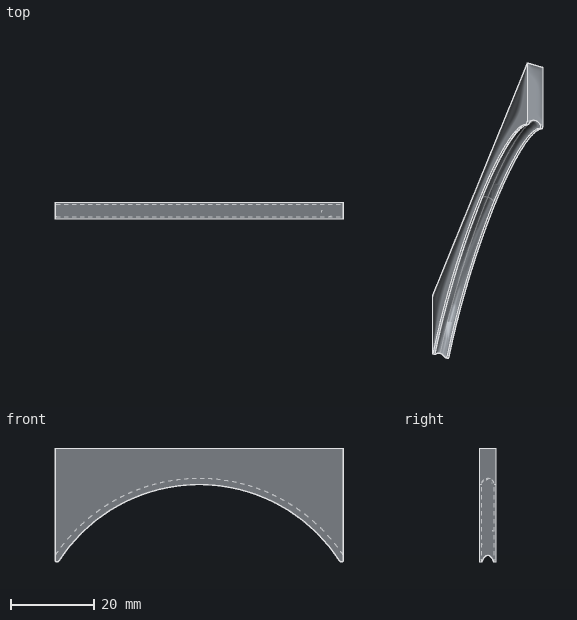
import cadquery as cq
import math

length = 69.1
thickness = 4.0
height = 27.23
arch_radius = 40.0
groove_radius = 1.5
tip_radius = 0.5

half_length = length / 2
tip_center_x = half_length - tip_radius
tip_center_z = math.sqrt((arch_radius + tip_radius) ** 2 - tip_center_x ** 2)
bottom_z = tip_center_z - tip_radius
top_z = bottom_z + height

corner_z = math.sqrt(arch_radius ** 2 - half_length ** 2)


def make_arched_plate():
    """Flat plate with an arched underside and rounded foot tips."""
    plate = (
        cq.Workplane("XZ")
        .moveTo(-half_length, top_z)
        .lineTo(half_length, top_z)
        .lineTo(half_length, corner_z)
        .threePointArc((0, arch_radius), (-half_length, corner_z))
        .close()
        .extrude(thickness / 2, both=True)
    )
    return plate.edges("|Y").edges("<Z").fillet(tip_radius)


def make_groove_cutter():
    """Ring of round section, centred on the arch surface at mid thickness."""
    return cq.Workplane(
        cq.Solid.makeTorus(arch_radius, groove_radius, cq.Vector(0, 0, 0), cq.Vector(0, 1, 0))
    )


result = make_arched_plate().cut(make_groove_cutter())